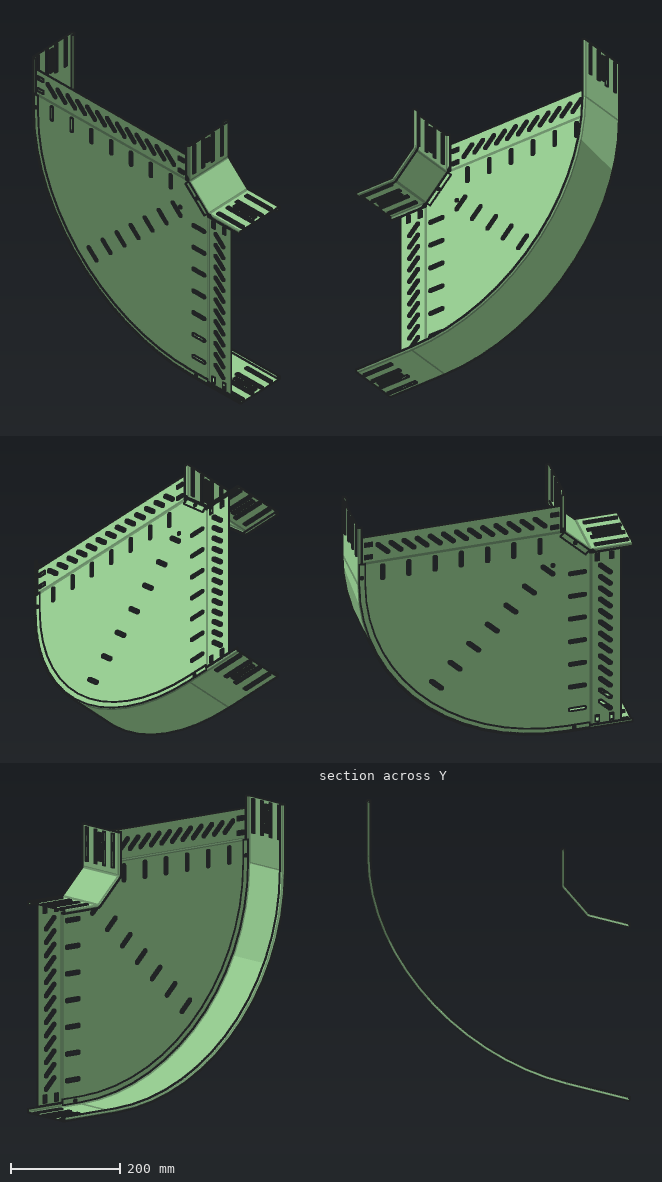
import cadquery as cq
import math


size = 525.0
height = 107.0
sheet = 1.0
bend_radius = 399.5
inner_face = 396.5
inner_corner = 444.5
corner_radius = 2.5
corner_angle = 45

flange_width = 14.0
tab_flange_width = 7.5
notch_top = 453.5
front_radius = 2.0
hook_width = 7.5
hook_radius = 3.0
hook_leg_end = 97.5

plate_inset = 3.0
strip_gap = 1.0
plate_edge = 443.0
strip_end = 502.5
joggle_length = 3.0

slot_length = 33.0
slot_width = 7.0
slot_count = 7
slot_first = 48.0
slot_last = 348.0
slot_row = 419.5
strip_slot_count = 13
strip_row = 472.5
oblique_first = 150.5
oblique_last = 363.5
window_length = 14.0
window_width = 7.5
window_span = 356.0
window_rows = (457.5, 484.5)

rivet_diameter = 5.0
rivet_inset = 8.0
rivet_along = 413.0
diagonal_rivet = 415.5
locating_hole = 373.0
locating_diameter = 6.5

tab_slot_length = 63.5
tab_slot_width = 7.0
tab_slot_centre = 488.0
tab_slot_first = 13.5
tab_slot_last = 88.0
tab_slot_count = 4
slit_length = 8.0
slit_width = 3.0
slit_count = 9
slit_first = 464.5
slit_last = 514.0
slit_row = 51.0

strip_from = tab_flange_width + strip_gap
strip_to = inner_face - tab_flange_width - strip_gap
joggle_middle = plate_edge + joggle_length / 2
joggle_end = plate_edge + joggle_length
diagonal_normal = cq.Vector(1, 0, -1)


def evenly_spaced(first, last, count):
    return [first + i * (last - first) / (count - 1) for i in range(count)]


def at_y(y):
    """Sketch plane parallel to XZ; extrude_up raises a sketch from it towards +Y."""
    return cq.Workplane("XZ", origin=(0, y, 0))


def extrude_up(sketch, depth):
    return sketch.extrude(-depth)


def cut_each(body, tools):
    """Cut every solid of tools, and its twin across the diagonal plane, from the body."""
    solids = tools.vals()
    twins = [tool.mirror(diagonal_normal) for tool in solids]
    return cq.Workplane(body.val().cut(*solids, *twins)).solids()


def round_holes(points, diameter):
    """Pins that punch round holes through the base plate and the flanges."""
    return extrude_up(at_y(0).pushPoints(points).circle(diameter / 2), 2 * sheet)


def rivet_holes():
    side = round_holes([(rivet_inset, rivet_along)], rivet_diameter)
    return side.add(round_holes([(diagonal_rivet, diagonal_rivet)], rivet_diameter))


def strip():
    """Strip along the top edge, joined to the plate by an S-shaped step.

    It starts a little inside the plate edge so that the two fuse.
    """
    section = (
        cq.Workplane("YZ", origin=(strip_from, 0, 0))
        .moveTo(2 * sheet, plate_edge - joggle_length)
        .lineTo(2 * sheet, plate_edge)
        .tangentArcPoint((1.5 * sheet, joggle_middle), relative=False)
        .tangentArcPoint((sheet, joggle_end), relative=False)
        .lineTo(sheet, strip_end)
        .lineTo(0, strip_end)
        .lineTo(0, joggle_end)
        .tangentArcPoint((0.5 * sheet, joggle_middle), relative=False)
        .tangentArcPoint((sheet, plate_edge), relative=False)
        .lineTo(sheet, plate_edge - joggle_length)
        .close()
    )
    return section.extrude(strip_to - strip_from)


def plate_blank():
    arc_radius = bend_radius - plate_inset
    arc_mid = bend_radius - arc_radius * math.sqrt(0.5)
    diagonal_sum = inner_face + inner_corner - plate_inset * math.sqrt(2)
    outline = (
        at_y(sheet)
        .moveTo(plate_inset, plate_edge)
        .lineTo(plate_inset, bend_radius)
        .threePointArc((arc_mid, arc_mid), (bend_radius, plate_inset))
        .lineTo(plate_edge, plate_inset)
        .lineTo(plate_edge, diagonal_sum - plate_edge)
        .lineTo(diagonal_sum - plate_edge, plate_edge)
        .close()
    )
    top_strip = strip()
    side_strip = cq.Workplane(top_strip.val().mirror(diagonal_normal))
    return extrude_up(outline, sheet).union(top_strip).union(side_strip)


def slot_cutters(points, angle):
    return extrude_up(at_y(0).pushPoints(points).slot2D(slot_length, slot_width, angle), 2 * sheet)


def window_cutters():
    middle = (strip_from + strip_to) / 2
    columns = (middle - window_span / 2, middle + window_span / 2)
    points = [(x, z) for x in columns for z in window_rows]
    return extrude_up(at_y(0).pushPoints(points).rect(window_length, window_width), 2 * sheet)


def make_base_plate():
    upright = [(x, slot_row) for x in evenly_spaced(slot_first, slot_last, slot_count)]
    oblique = [(x, strip_row) for x in evenly_spaced(slot_first, slot_last, strip_slot_count)]
    diagonal = [(x, x) for x in evenly_spaced(oblique_first, oblique_last, slot_count)]
    plate = cut_each(plate_blank(), slot_cutters(upright, 90))
    plate = cut_each(plate, slot_cutters(oblique, -45))
    plate = plate.cut(slot_cutters(diagonal, -45))
    plate = cut_each(plate, window_cutters())
    plate = plate.cut(round_holes([(locating_hole, locating_hole)], locating_diameter))
    return cut_each(plate, rivet_holes())


def wall_section(start, inward):
    """Bent sheet section at the top end of a wall.

    The outer face lies at X = start; inward is +1 or -1, the X direction of flange and hook.
    """
    def point(depth, y):
        return (start + inward * depth, y)

    def bend(sketch, centre, radius, angles):
        turns = [math.radians(angle) for angle in angles]
        mid, end = [
            point(centre[0] + radius * math.cos(turn), centre[1] + radius * math.sin(turn))
            for turn in turns
        ]
        return sketch.threePointArc(mid, end)

    front = (front_radius, front_radius)
    back = (hook_radius, height - hook_radius)
    leg = (hook_width - hook_radius, height - hook_radius)
    hook_inner = hook_radius - sheet

    sketch = cq.Workplane("XY", origin=(0, 0, size)).moveTo(*point(flange_width, 0))
    sketch = bend(sketch.lineTo(*point(front_radius, 0)), front, front_radius, (225, 180))
    sketch = bend(sketch.lineTo(*point(0, back[1])), back, hook_radius, (135, 90))
    sketch = bend(sketch.lineTo(*point(leg[0], height)), leg, hook_radius, (45, 0))
    sketch = sketch.lineTo(*point(hook_width, hook_leg_end)).lineTo(*point(hook_width - sheet, hook_leg_end))
    sketch = bend(sketch.lineTo(*point(hook_width - sheet, leg[1])), leg, hook_inner, (45, 90))
    sketch = bend(sketch.lineTo(*point(back[0], height - sheet)), back, hook_inner, (135, 180))
    sketch = bend(sketch.lineTo(*point(sheet, front_radius)), front, front_radius - sheet, (225, 270))
    return sketch.lineTo(*point(flange_width, sheet)).close()


def tab_cutters():
    """Long slots and a row of slits through the tabs at the top end."""
    side = cq.Workplane("YZ")
    long_rows = evenly_spaced(tab_slot_first, tab_slot_last, tab_slot_count)
    long_points = [(y, tab_slot_centre) for y in long_rows]
    slit_points = [(slit_row, z) for z in evenly_spaced(slit_first, slit_last, slit_count)]
    cutters = side.pushPoints(long_points).rect(tab_slot_width, tab_slot_length).extrude(size)
    return cutters.add(side.pushPoints(slit_points).rect(slit_length, slit_width).extrude(size))


def make_outer_wall():
    arc_mid = bend_radius * (1 - math.sqrt(0.5))
    path = (
        cq.Workplane("XZ")
        .moveTo(0, size)
        .lineTo(0, bend_radius)
        .threePointArc((arc_mid, arc_mid), (bend_radius, 0))
        .lineTo(size, 0)
    )
    wall = wall_section(0, 1).sweep(path)
    trim = at_y(0).moveTo(tab_flange_width, plate_edge).lineTo(flange_width, plate_edge)
    trim = trim.lineTo(flange_width, size).lineTo(tab_flange_width, size).close()
    wall = cut_each(wall, extrude_up(trim, sheet))
    wall = cut_each(wall, tab_cutters())
    return cut_each(wall, rivet_holes())


def flange_trim():
    """Narrows the inner wall's tab flange and notches it at the corner with the diagonal flange."""
    tab_edge = inner_face - tab_flange_width
    notch_x = inner_face - front_radius
    notch_z = inner_corner - front_radius
    outline = (
        at_y(0)
        .moveTo(tab_edge, size)
        .lineTo(tab_edge, notch_top)
        .lineTo(notch_x, notch_top - (notch_x - tab_edge))
        .lineTo(notch_x, notch_z)
        .lineTo(notch_x - flange_width, notch_z - flange_width)
        .lineTo(notch_x - flange_width, size)
        .close()
    )
    return extrude_up(outline, sheet)


def make_inner_wall():
    setback = corner_radius * math.tan(math.radians(corner_angle / 2))
    slant = setback * math.cos(math.radians(corner_angle))
    path = (
        cq.Workplane("XZ")
        .moveTo(inner_face, size)
        .lineTo(inner_face, inner_corner + setback)
        .tangentArcPoint((inner_face + slant, inner_corner - slant), relative=False)
        .lineTo(inner_corner - slant, inner_face + slant)
        .tangentArcPoint((inner_corner + setback, inner_face), relative=False)
        .lineTo(size, inner_face)
    )
    wall = wall_section(inner_face, -1).sweep(path)
    wall = cut_each(wall, flange_trim())
    wall = cut_each(wall, tab_cutters())
    return cut_each(wall, rivet_holes())


base_plate = make_base_plate()
outer_wall = make_outer_wall()
inner_wall = make_inner_wall()

result = cq.Compound.makeCompound([base_plate.val(), outer_wall.val(), inner_wall.val()])